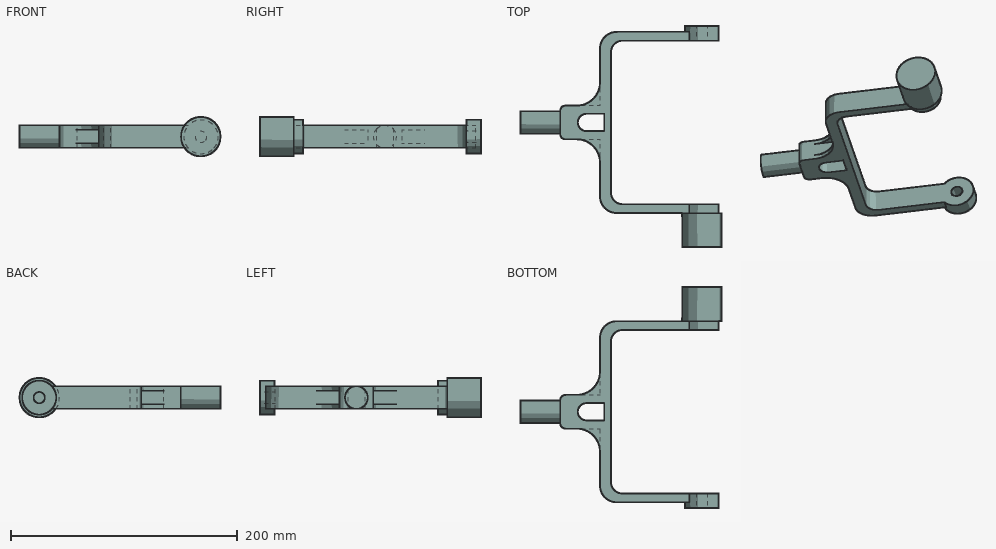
import cadquery as cq

height = 20.0
hub_face_x = 35.0
crossbar_x = 70.0
crossbar_thickness = 10.0
yoke_half_width = 80.0
arm_thickness = 8.0
outer_bend_radius = 15.0
inner_bend_radius = 10.0

hub_width = 30.0
hub_corner_radius = 5.0
web_radius = 20.0
web_thickness = 4.0

slot_start_x = 50.7
slot_end_x = 74.0
slot_width = 15.0

boss_x = 159.9
boss_diameter = 30.0
boss_hole_diameter = 10.0
handle_diameter = 35.0
boss_outer_y = 85.0
handle_end_y = -110.0

arm_inner_y = yoke_half_width - arm_thickness
crossbar_inner_x = crossbar_x + crossbar_thickness


def box(x_start, x_end, y_start, y_end, z_size=height):
    """Block centred on Z = 0 between the given X and Y limits."""
    return (
        cq.Workplane("XY")
        .box(x_end - x_start, y_end - y_start, z_size)
        .translate(((x_start + x_end) / 2, (y_start + y_end) / 2, 0))
    )


def boss_cylinder(diameter, y_start, y_end):
    """Cylinder along Y on the common boss axis."""
    return (
        cq.Workplane("XZ", origin=(boss_x, y_start, 0))
        .circle(diameter / 2)
        .extrude(y_start - y_end)
    )


def make_fork():
    """U-shaped crossbar and arms with rounded bends."""
    outer = box(crossbar_x, boss_x, -yoke_half_width, yoke_half_width)
    outer = outer.edges("|Z and <X").fillet(outer_bend_radius)
    opening = box(crossbar_inner_x, boss_x, -arm_inner_y, arm_inner_y)
    opening = opening.edges("|Z and <X").fillet(inner_bend_radius)
    return outer.cut(opening)


def make_hub():
    """Block joining the shaft to the crossbar."""
    hub = box(hub_face_x, crossbar_inner_x, -hub_width / 2, hub_width / 2)
    return hub.edges("|Z and <X").fillet(hub_corner_radius)


def make_webs():
    """Thin concave webs in the hub corners, flush with the top and bottom."""
    web_start_x = crossbar_x - web_radius
    web_half_width = hub_width / 2 + web_radius
    webs = box(web_start_x, crossbar_x, -web_half_width, web_half_width)
    for side in (-1, 1):
        scoop = (
            cq.Workplane("XY")
            .center(web_start_x, side * web_half_width)
            .circle(web_radius)
            .extrude(height / 2, both=True)
        )
        webs = webs.cut(scoop)
    pocket = box(web_start_x, crossbar_x, -web_half_width, web_half_width, height - 2 * web_thickness)
    return webs.cut(pocket)


def make_slot():
    """Through slot, round towards the shaft and square at the crossbar."""
    slot_radius = slot_width / 2
    round_center_x = slot_start_x + slot_radius
    square_end = box(round_center_x, slot_end_x, -slot_radius, slot_radius)
    round_end = (
        cq.Workplane("XY")
        .center(round_center_x, 0)
        .circle(slot_radius)
        .extrude(height / 2, both=True)
    )
    return square_end.union(round_end)


shaft = cq.Workplane("YZ").circle(height / 2).extrude(hub_face_x + hub_corner_radius)
plain_boss = boss_cylinder(boss_diameter, -yoke_half_width, -arm_inner_y)
handle = boss_cylinder(handle_diameter, handle_end_y, -yoke_half_width)
drilled_boss = boss_cylinder(boss_diameter, arm_inner_y, boss_outer_y)
boss_hole = boss_cylinder(boss_hole_diameter, arm_inner_y, boss_outer_y)

result = make_fork().union(make_hub()).union(make_webs()).union(shaft)
result = result.union(plain_boss).union(handle).union(drilled_boss)
result = result.cut(make_slot()).cut(boss_hole)